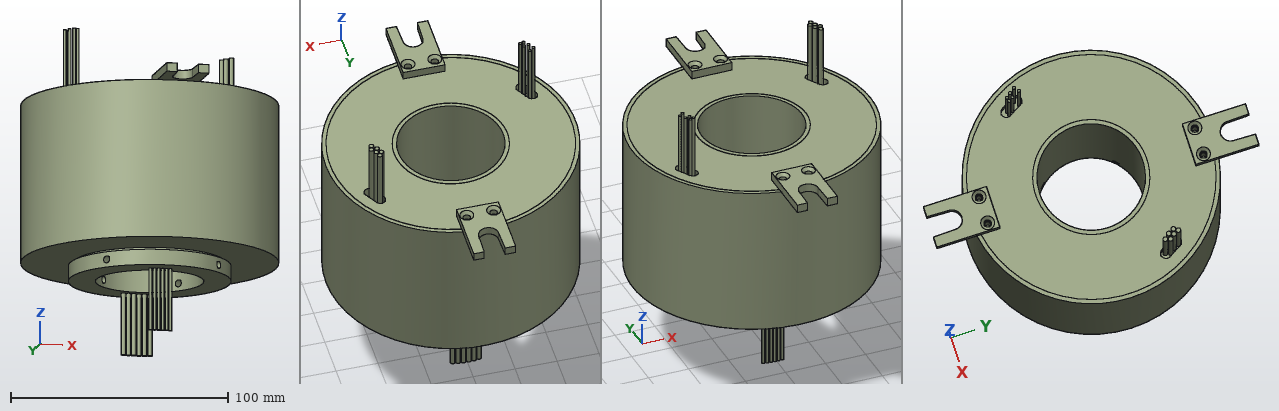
import cadquery as cq
import math

overall_length = 156.0
body_diameter = 119.0
body_height = 74.0
bore_diameter = 49.9
rim_width = 2.0
cover_recess = 0.2

neck_diameter = 70.0
neck_height = 1.4
collar_diameter = 75.0
collar_height = 7.2
set_screw_diameter = 3.3
set_screw_angles = (45, 135, 225, 315)

lug_width = 20.0
lug_length = 30.5
lug_thickness = 3.9
fork_mouth_width = 10.0
fork_root_width = 9.4
fork_depth = 15.3
lug_screw_spacing = 12.8
lug_screw_inset = 4.8
countersink_diameter = 6.4
countersink_angle = 90
clearance_diameter = 3.5
tapped_diameter = 2.5
tapped_depth = 7.8
drill_tip_angle = 118

outlet_radius = 49.5
outlet_angle = 30
outlet_spacing = 7.0
outlet_width = 5.0
outlet_depth = 5.0

wire_length = 29.0
thin_wire_diameter = 1.4
thick_wire_diameter = 2.2
collar_wire_radius = 29.0
thin_wire_pitch = 1.9
thick_wire_pitch = 2.5
row_count = 6
thin_row_start = -6.2
thick_row_start = -5.8

thin_bundle = [
    (-43.4, -20.9),
    (-45.4, -22.6),
    (-43.7, -25.1),
    (-41.5, -24.6),
    (-42.0, -27.1),
    (-40.2, -26.7),
]
thick_bundle = [
    (41.5, 28.7),
    (40.2, 26.7),
    (42.6, 26.2),
    (41.7, 24.0),
    (44.3, 24.0),
    (43.7, 21.7),
]

collar_top = -neck_height
collar_bottom = collar_top - collar_height
cover_top = body_height - cover_recess
outlet_floor = cover_top - outlet_depth
wire_top = body_height + wire_length


def cylinder(diameter, bottom, top, x=0.0, y=0.0):
    return cq.Workplane("XY", origin=(x, y, bottom)).circle(diameter / 2).extrude(top - bottom)


def make_housing():
    """Body, neck and collar with the common bore and the recessed cover face."""
    housing = cylinder(body_diameter, 0, body_height)
    housing = housing.union(cylinder(neck_diameter, collar_top, 0))
    housing = housing.union(cylinder(collar_diameter, collar_bottom, collar_top))
    recess = cylinder(body_diameter - 2 * rim_width, cover_top, body_height)
    recess = recess.cut(cylinder(bore_diameter + 2 * rim_width, cover_top, body_height))
    bore = cylinder(bore_diameter, collar_bottom, body_height)
    return housing.cut(recess).cut(bore)


def make_set_screw_hole(angle):
    """Radial hole through the collar wall, at mid height."""
    hole = cq.Workplane("YZ", origin=(0, 0, collar_top - collar_height / 2))
    hole = hole.circle(set_screw_diameter / 2).extrude(collar_diameter / 2)
    return hole.rotate((0, 0, 0), (0, 0, 1), angle)


def make_lug():
    """Lug on the +Y side, resting on the cover; its fork opens outwards and widens towards the mouth."""
    outer_y = overall_length / 2
    inner_y = outer_y - lug_length
    fork_radius = fork_root_width / 2
    mouth_half = fork_mouth_width / 2
    fork_centre_y = outer_y - fork_depth + fork_radius
    return (
        cq.Workplane("XY", origin=(0, 0, cover_top))
        .moveTo(-lug_width / 2, inner_y)
        .lineTo(lug_width / 2, inner_y)
        .lineTo(lug_width / 2, outer_y)
        .lineTo(mouth_half, outer_y)
        .lineTo(fork_radius, fork_centre_y)
        .threePointArc((0, outer_y - fork_depth), (-fork_radius, fork_centre_y))
        .lineTo(-mouth_half, outer_y)
        .lineTo(-lug_width / 2, outer_y)
        .close()
        .extrude(lug_thickness + cover_recess)
    )


def make_lug_screw_hole(x):
    """Countersunk clearance hole through the lug and a drilled blind hole in the body."""
    lug_top = body_height + lug_thickness
    sink_radius = countersink_diameter / 2
    clearance_radius = clearance_diameter / 2
    tapped_radius = tapped_diameter / 2
    sink_depth = (sink_radius - clearance_radius) / math.tan(math.radians(countersink_angle / 2))
    tip_height = tapped_radius / math.tan(math.radians(drill_tip_angle / 2))
    tapped_bottom = cover_top - tapped_depth
    profile = (
        cq.Workplane("XZ")
        .moveTo(0, lug_top)
        .lineTo(sink_radius, lug_top)
        .lineTo(clearance_radius, lug_top - sink_depth)
        .lineTo(clearance_radius, cover_top)
        .lineTo(tapped_radius, cover_top)
        .lineTo(tapped_radius, tapped_bottom)
        .lineTo(0, tapped_bottom - tip_height)
        .close()
    )
    screw_y = overall_length / 2 - lug_length + lug_screw_inset
    return profile.revolve(360, (0, 0, 0), (0, 1, 0)).translate((x, screw_y, 0))


def make_outlet(angle):
    """Obround wire outlet pocket in the cover, lying across the radius at the given angle."""
    pocket = cq.Workplane("XY", origin=(outlet_radius, 0, outlet_floor))
    pocket = pocket.slot2D(outlet_spacing + outlet_width, outlet_width, 90).extrude(outlet_depth)
    return pocket.rotate((0, 0, 0), (0, 0, 1), angle)


def make_bundle(centres, diameter):
    """Upright wires standing on the floor of an outlet."""
    bundle = cq.Workplane("XY", origin=(0, 0, outlet_floor)).pushPoints(centres)
    return bundle.circle(diameter / 2).extrude(wire_top - outlet_floor)


def make_wire_row(side, start_x, pitch, diameter):
    """Row of wires below the collar along an arc about the axis; side is +1 or -1 in Y."""
    row = cq.Workplane("XY")
    for index in range(row_count):
        x = start_x + index * pitch
        y = side * math.sqrt(collar_wire_radius**2 - x**2)
        row = row.add(cylinder(diameter, collar_bottom - wire_length, collar_bottom, x, y))
    return row.combine()


result = make_housing()
for screw_angle in set_screw_angles:
    result = result.cut(make_set_screw_hole(screw_angle))

for lug_angle in (0, 180):
    result = result.union(make_lug().rotate((0, 0, 0), (0, 0, 1), lug_angle))
    for screw_x in (-lug_screw_spacing / 2, lug_screw_spacing / 2):
        result = result.cut(make_lug_screw_hole(screw_x).rotate((0, 0, 0), (0, 0, 1), lug_angle))

for outlet in (outlet_angle, outlet_angle + 180):
    result = result.cut(make_outlet(outlet))
result = result.union(make_bundle(thin_bundle, thin_wire_diameter))
result = result.union(make_bundle(thick_bundle, thick_wire_diameter))
result = result.union(make_wire_row(-1, thin_row_start, thin_wire_pitch, thin_wire_diameter))
result = result.union(make_wire_row(1, thick_row_start, thick_wire_pitch, thick_wire_diameter))